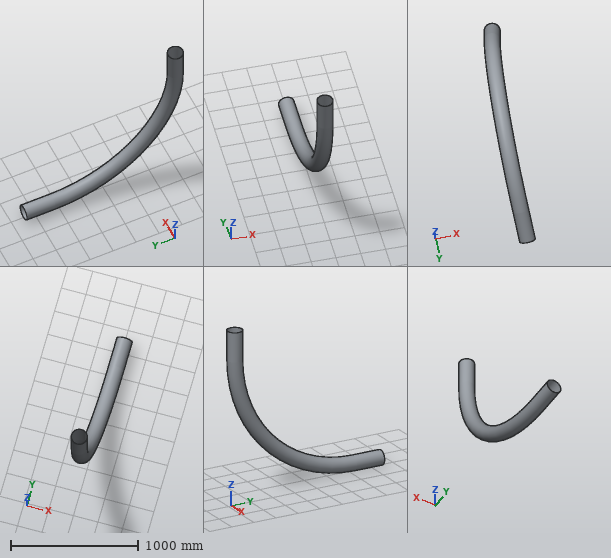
import cadquery as cq

overall_size = 1384.0
outer_diameter = 127.0
inner_diameter = 123.0
straight_length = 250.0

bend_radius = overall_size - outer_diameter / 2 - straight_length


def pipe_section(plane):
    """Ring-shaped cross-section of the pipe wall."""
    return cq.Workplane(plane).circle(outer_diameter / 2).circle(inner_diameter / 2)


upright_leg = pipe_section("XY").extrude(straight_length)

bend = pipe_section("XY").revolve(90, (0, bend_radius, 0), (1, bend_radius, 0))

level_leg_start = cq.Plane(origin=(0, bend_radius, -bend_radius), xDir=(1, 0, 0), normal=(0, 1, 0))
level_leg = pipe_section(level_leg_start).extrude(straight_length)

result = upright_leg.union(bend).union(level_leg)